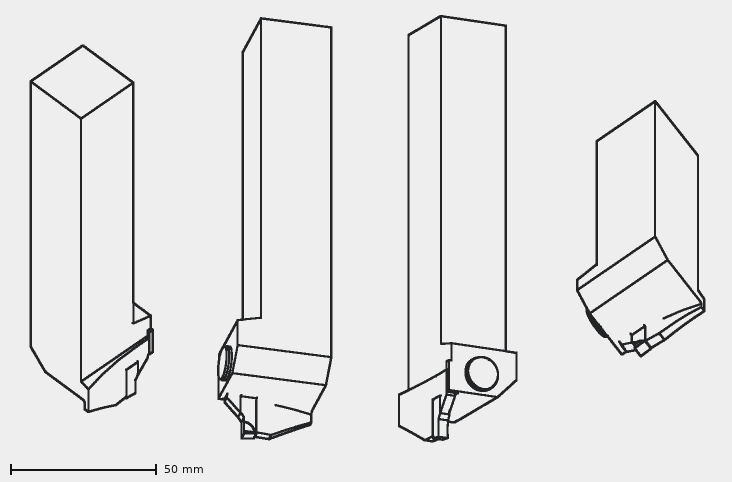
import cadquery as cq
import math

total_height = 151.4
shank_size = 25.0
head_depth = 33.3
head_bottom = 14.5
step_bottom = 31.5
step_top = 33.6
corner_chamfer_x = 7.3
corner_chamfer_z = 7.1

outer_front_x = 28.6
outer_back_x = 25.9
flange_top_inner = 22.7
flange_top_outer = 21.6
rib_x = 26.0
rib_depth = 1.7
rib_top = 25.3

cutting_height = 25.1
inner_front_x = 26.8
inner_back_x = 22.5
blade_back = 31.2
blade_front_bottom = 10.5
blade_bottom = 1.4
blade_ramp_end = 15.3
root_fillet = 1.0

insert_front = 20.7
insert_back = 26.3
insert_left = 22.2
insert_right = 25.9
insert_shoulder = 8.2
insert_rake_top = 6.4
insert_relief_rise = 0.6
side_relief_depth = 0.2
side_relief_radius = 3.6
side_relief_bottom = 1.0

screw_diameter = 11.8
screw_x = 13.8
screw_z = 21.8
screw_height = 1.8
screw_rim_height = 0.9
screw_rim_inset = 0.2


def tangent_radius(rise):
    """Radius of an arc tangent to Y at the cutting height that reaches `rise` in X at Y = 0."""
    return (cutting_height**2 + rise**2) / (2 * rise)


def arc_x(front_x, back_x, y):
    """X at a given Y on the arc that runs from front_x at Y = 0 to back_x at the cutting height."""
    radius = tangent_radius(front_x - back_x)
    return back_x + radius - math.sqrt(radius**2 - (cutting_height - y)**2)


def arc_middle(front_x, back_x):
    """Point halfway in Y along the arc from Y = 0 to the cutting height."""
    y = cutting_height / 2
    return (arc_x(front_x, back_x, y), y)


def side_prism(points):
    """Extrude a YZ outline along X, past the full width of the part."""
    return cq.Workplane("YZ").polyline(points).close().extrude(outer_front_x)


def make_body():
    """Shank with the deeper head and its sloped step."""
    body = side_prism([
        (0, head_bottom),
        (head_depth, head_bottom),
        (head_depth, step_bottom),
        (shank_size, step_top),
        (shank_size, total_height),
        (0, total_height),
    ])
    front_outline = (
        cq.Workplane("XZ")
        .polyline([
            (corner_chamfer_x, head_bottom),
            (shank_size, head_bottom),
            (shank_size, total_height),
            (0, total_height),
            (0, head_bottom + corner_chamfer_z),
        ])
        .close()
        .extrude(-head_depth)
    )
    return body.intersect(front_outline)


def make_flange():
    """Side flange with a sloped top and a concave outer face."""
    plan = (
        cq.Workplane("XY")
        .moveTo(inner_back_x, 0)
        .lineTo(outer_front_x, 0)
        .threePointArc(arc_middle(outer_front_x, outer_back_x), (outer_back_x, cutting_height))
        .lineTo(outer_back_x, head_depth)
        .lineTo(inner_back_x, head_depth)
        .close()
        .extrude(flange_top_inner)
    )
    front_outline = (
        cq.Workplane("XZ")
        .polyline([
            (inner_back_x, head_bottom),
            (outer_front_x, head_bottom),
            (outer_front_x, flange_top_outer),
            (shank_size, flange_top_inner),
            (inner_back_x, flange_top_inner),
        ])
        .close()
        .extrude(-head_depth)
    )
    return plan.intersect(front_outline)


def make_rib():
    """Short rib on the +X side at the back of the head."""
    return cq.Workplane("XY").box(
        rib_x - inner_back_x, rib_depth, rib_top - head_bottom, centered=False
    ).translate((inner_back_x, head_depth - rib_depth, head_bottom))


def make_blade():
    """Curved blade between two arcs, trimmed to its side outline."""
    plan = (
        cq.Workplane("XY")
        .moveTo(inner_front_x, 0)
        .lineTo(outer_front_x, 0)
        .threePointArc(arc_middle(outer_front_x, outer_back_x), (outer_back_x, cutting_height))
        .lineTo(outer_back_x, blade_back)
        .lineTo(inner_back_x, blade_back)
        .lineTo(inner_back_x, cutting_height)
        .threePointArc(arc_middle(inner_front_x, inner_back_x), (inner_front_x, 0))
        .close()
        .extrude(head_bottom)
    )
    outline = side_prism([
        (0, head_bottom),
        (0, blade_front_bottom),
        (blade_ramp_end, blade_bottom),
        (insert_back, blade_bottom),
        (insert_back, insert_shoulder),
        (blade_back, head_bottom - root_fillet),
        (blade_back, head_bottom),
    ])
    return plan.intersect(outline)


def make_screw_head():
    """Screw head with a slightly narrower rim, part of the holder."""
    radius = screw_diameter / 2
    return (
        cq.Workplane("XZ", origin=(screw_x, head_depth, screw_z))
        .circle(radius)
        .extrude(screw_rim_height - screw_height)
        .faces(">Y")
        .workplane()
        .circle(radius - screw_rim_inset)
        .extrude(screw_rim_height)
    )


def make_holder():
    """Holder with the blade, the root fillet and an open seat for the insert."""
    holder = make_body().union(make_flange()).union(make_rib()).union(make_blade())
    root_edge = cq.selectors.BoxSelector(
        (inner_back_x - root_fillet, 0, head_bottom - root_fillet / 2),
        (arc_x(inner_front_x, inner_back_x, 0), cutting_height, head_bottom + root_fillet / 2),
        boundingbox=False,
    )
    holder = holder.edges(root_edge).edges("%CIRCLE").fillet(root_fillet)
    seat = cq.Workplane("XY").box(
        outer_front_x, insert_back - insert_front, head_bottom, centered=False
    ).translate((0, insert_front, 0))
    return holder.cut(seat).union(make_screw_head())


def make_insert():
    """Grooving insert with a relieved end and a shallow side relief at the tip."""
    insert = (
        cq.Workplane("YZ", origin=(insert_left, 0, 0))
        .polyline([
            (insert_front, head_bottom),
            (insert_back, head_bottom),
            (insert_back, insert_shoulder),
            (cutting_height, insert_rake_top),
            (cutting_height, 0),
            (insert_front, insert_relief_rise),
        ])
        .close()
        .extrude(insert_right - insert_left)
    )
    relief_front = cutting_height - side_relief_radius
    diagonal = side_relief_radius * math.sqrt(0.5)
    relief = (
        cq.Workplane("YZ", origin=(insert_left, 0, 0))
        .moveTo(relief_front, side_relief_bottom)
        .threePointArc(
            (relief_front + side_relief_radius - diagonal, side_relief_bottom + diagonal),
            (cutting_height, side_relief_bottom + side_relief_radius),
        )
        .lineTo(cutting_height, side_relief_bottom)
        .close()
        .extrude(side_relief_depth)
    )
    return insert.cut(relief)


holder = make_holder()
insert = make_insert()
result = cq.Compound.makeCompound([holder.solids().val(), insert.val()])